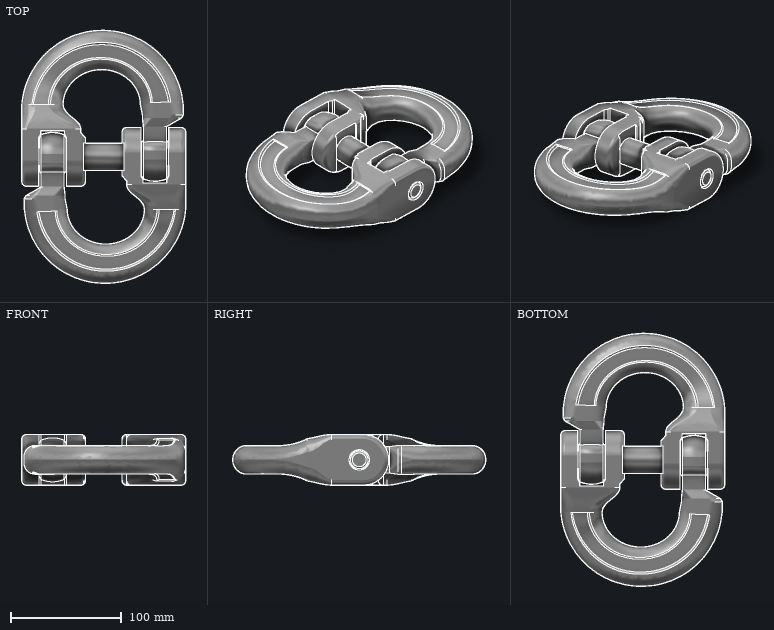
import cadquery as cq
import math


bow_base_y = 47.3
bow_tip_y = 114.3
bow_outer_x = -1.1
bow_outer_radius = 73.2
inner_x = -1.8
inner_half_width = 34.7
inner_half_length = 31.3
bow_half_height = 13.0
bow_corner = 12.5
bow_steps = 12
rise_start_y = 80.0
rise_rate = 0.005687

panel_depth = 1.4
panel_outer_margin = 11.0
panel_inner_margin = 9.0
panel_draft = 2.0
panel_clearance = 2.3
panel_start_step = 0.15
panel_fork_shift = 2.5

fork_height = 46.0
fork_half_height = fork_height / 2
fork_top_y = 25.1
fork_outer_x = -74.0
fork_inner_x = -16.5
fork_round_y = -3.7
fork_rim = 4.3
slot_x = -46.2
slot_width = 21.3
slot_floor_y = 23.5
recess_width = 24.7
recess_top_y = 17.4
recess_taper_y = 20.5
notch_x = -20.5
notch_y = 21.7
notch_end_y = 17.1
shoulder_corner = 4.5

tongue_x = -slot_x
arm_round = 10.3
arm_inner_x = 34.7
arm_outer_x = 72.0
arm_corner_y = 38.0
arm_end_x = 70.2
arm_end_y = 35.0
neck_top_y = 27.2
neck_width = 21.0
neck_half_height = 12.0
neck_corner = 1.8
eye_width = 24.2
eye_crown_width = 21.0
eye_radius = 20.0
eye_edge_radius = 17.5
eye_side_radius = 14.9
eye_low_y = -2.5
eye_high_y = 5.7
eye_end_drop = 8.0
eye_end_steps = 4

pin_diameter = 16.0
pin_chamfer = 1.8
hole_diameter = 18.3
sleeve_diameter = 25.0
seat_depth = 1.8


def section_plane(outer, inner):
    """Upright plane through two plan points, its x axis pointing from inner to outer."""
    width = math.dist(outer, inner)
    middle = ((outer[0] + inner[0]) / 2, (outer[1] + inner[1]) / 2, 0)
    outward = ((outer[0] - inner[0]) / width, (outer[1] - inner[1]) / width, 0)
    normal = (outward[1], -outward[0], 0)
    return cq.Plane(origin=middle, xDir=outward, normal=normal)


def rounded_section(outer, inner, half_height, corner):
    """Rounded rectangle standing on the line between two plan points."""
    width = math.dist(outer, inner)
    wire = cq.Workplane(section_plane(outer, inner)).rect(width, 2 * half_height).val()
    return wire.fillet2D(corner, wire.Vertices())


def fork_side_height(y):
    return bow_half_height + rise_rate * max(0, rise_start_y - y) ** 2


def bow_station(step):
    """Outer point, inner point and half height, from the tongue (step 0) to the fork (last step)."""
    outer_centre_y = bow_tip_y - bow_outer_radius
    start = math.asin((bow_base_y - outer_centre_y) / bow_outer_radius)
    share = step / bow_steps
    outer_angle = start + share * (math.pi - 2 * start)
    inner_angle = share * math.pi
    outer = (
        bow_outer_x + bow_outer_radius * math.cos(outer_angle),
        outer_centre_y + bow_outer_radius * math.sin(outer_angle),
    )
    inner = (
        inner_x + inner_half_width * math.cos(inner_angle),
        bow_base_y + inner_half_length * math.sin(inner_angle),
    )
    on_fork_side = step > bow_steps / 2
    half_height = fork_side_height(outer[1]) if on_fork_side else bow_half_height
    return outer, inner, half_height


def bow_section(step):
    outer, inner, half_height = bow_station(step)
    return rounded_section(outer, inner, half_height, bow_corner)


def make_bow():
    sections = [bow_section(step) for step in range(bow_steps + 1)]
    return cq.Workplane(cq.Solid.makeLoft(sections))


def panel_section(step):
    """Section of the panel cutter: a floor with sloping walls, below the top of the bow."""
    outer, inner, half_height = bow_station(step)
    plane = section_plane(outer, inner)
    half_width = math.dist(outer, inner) / 2
    shift = panel_fork_shift * max(0, 2 * step / bow_steps - 1)
    right = half_width - panel_outer_margin + shift
    left = panel_inner_margin - half_width + shift
    floor = half_height - panel_depth
    top = half_height + panel_clearance
    return (
        cq.Workplane(plane)
        .moveTo(left + panel_draft, floor)
        .lineTo(right - panel_draft, floor)
        .lineTo(right, half_height)
        .lineTo(right, top)
        .lineTo(left, top)
        .lineTo(left, half_height)
        .close()
        .val()
    )


def make_panel_cut():
    steps = [panel_start_step, *range(1, bow_steps + 1)]
    sections = [panel_section(step) for step in steps]
    return cq.Workplane(cq.Solid.makeLoft(sections))


def make_shoulder():
    """Blend from the fork side of the bow to the full height of the fork."""
    stations = [
        (39.5, -33.1, 20.5, 11.5),
        (31.3, -23.5, 22.5, 7.3),
        (fork_top_y, notch_x, fork_half_height, shoulder_corner),
    ]
    sections = [bow_section(bow_steps)]
    for y, x, half_height, corner in stations:
        sections.append(rounded_section((fork_outer_x, y), (x, y), half_height, corner))
    return cq.Workplane(cq.Solid.makeLoft(sections))


def x_box(x_min, x_max, y_min, y_max, height):
    return cq.Workplane("XY").box(x_max - x_min, y_max - y_min, height).translate(
        ((x_min + x_max) / 2, (y_min + y_max) / 2, 0)
    )


def make_fork():
    tip_y = fork_round_y - fork_half_height
    fork = (
        cq.Workplane("YZ", origin=(fork_outer_x, 0, 0))
        .moveTo(fork_top_y, fork_half_height)
        .lineTo(fork_round_y, fork_half_height)
        .threePointArc((tip_y, 0), (fork_round_y, -fork_half_height))
        .lineTo(fork_top_y, -fork_half_height)
        .close()
        .extrude(fork_inner_x - fork_outer_x)
    )
    fork = fork.faces("<X or >X").edges("not(|Z)").fillet(fork_rim)
    notch = (
        cq.Workplane("XY", origin=(0, 0, -fork_half_height))
        .moveTo(notch_x, fork_top_y)
        .lineTo(notch_x, notch_y)
        .lineTo(fork_inner_x, notch_end_y)
        .lineTo(0, notch_end_y)
        .lineTo(0, fork_top_y)
        .close()
        .extrude(fork_height)
    )
    slot = x_box(slot_x - slot_width / 2, slot_x + slot_width / 2, tip_y, slot_floor_y, fork_height)
    recess = (
        cq.Workplane("XY", origin=(slot_x, 0, -fork_half_height))
        .moveTo(-recess_width / 2, tip_y)
        .lineTo(-recess_width / 2, recess_top_y)
        .lineTo(-slot_width / 2, recess_taper_y)
        .lineTo(slot_width / 2, recess_taper_y)
        .lineTo(recess_width / 2, recess_top_y)
        .lineTo(recess_width / 2, tip_y)
        .close()
        .extrude(fork_height)
    )
    seat = x_box(fork_inner_x - seat_depth, 0, -sleeve_diameter / 2, sleeve_diameter / 2, fork_height)
    return fork.cut(notch).cut(slot).cut(recess).cut(seat)


def make_arm():
    arm_corner = rounded_section(
        (arm_outer_x, arm_corner_y), (arm_inner_x, arm_corner_y), bow_half_height, arm_round
    )
    arm_end = rounded_section((arm_end_x, arm_end_y), (arm_inner_x, arm_end_y), bow_half_height, arm_round)
    neck_start = rounded_section(
        (tongue_x + neck_width / 2, neck_top_y),
        (tongue_x - neck_width / 2, neck_top_y),
        neck_half_height,
        neck_corner,
    )
    return cq.Workplane(cq.Solid.makeLoft([bow_section(0), arm_corner, arm_end, neck_start], True))


def make_neck():
    left = tongue_x - neck_width / 2
    right = tongue_x + neck_width / 2
    return x_box(left, right, 0, neck_top_y, 2 * neck_half_height).edges("|Y").fillet(neck_corner)


def eye_profile(y, drop=0):
    """Upper half section of the crowned eye; drop lowers its crown."""
    side = eye_width / 2
    crown = eye_crown_width / 2
    return (
        cq.Workplane("XZ", origin=(tongue_x, y, 0))
        .moveTo(-side, 0)
        .lineTo(-side, eye_side_radius - drop)
        .lineTo(-crown, eye_edge_radius - drop)
        .threePointArc((0, eye_radius - drop), (crown, eye_edge_radius - drop))
        .lineTo(side, eye_side_radius - drop)
        .lineTo(side, 0)
        .close()
    )


def make_eye():
    straight = eye_profile(eye_high_y).extrude(eye_high_y - eye_low_y)
    sections = []
    for step in range(eye_end_steps + 1):
        angle = math.pi / 2 * step / eye_end_steps
        y = eye_high_y + eye_end_drop * math.sin(angle)
        drop = eye_end_drop * (1 - math.cos(angle))
        sections.append(eye_profile(y, drop).val())
    upper = straight.union(cq.Workplane(cq.Solid.makeLoft(sections)))
    round_end = eye_profile(eye_low_y).revolve(360, (-2.3, 0, 0), (2.3, 0, 0))
    return round_end.union(upper).union(upper.mirror("XY"))


def make_half_link():
    panel_cut = make_panel_cut()
    bow = make_bow().cut(panel_cut).cut(panel_cut.mirror("XY"))
    link = bow.union(make_shoulder()).union(make_fork())
    link = link.union(make_arm()).union(make_neck()).union(make_eye())
    hole = cq.Workplane("YZ").circle(hole_diameter / 2).extrude(bow_outer_radius * 2, both=True)
    return link.cut(hole)


def make_pin():
    pin = cq.Workplane("YZ").circle(pin_diameter / 2).extrude(-fork_outer_x, both=True)
    return pin.faces("<X or >X").chamfer(pin_chamfer)


def make_sleeve():
    half_length = seat_depth - fork_inner_x
    return (
        cq.Workplane("YZ")
        .circle(sleeve_diameter / 2)
        .circle(pin_diameter / 2)
        .extrude(2 * half_length)
        .translate((-half_length, 0, 0))
    )


half_link = make_half_link()
half_links = [half_link.rotate((0, 0, 0), (0, 0, 1), angle).val() for angle in (0, 180)]
pin = make_pin()
sleeve = make_sleeve()
result = cq.Compound.makeCompound([*half_links, pin.val(), sleeve.val()])